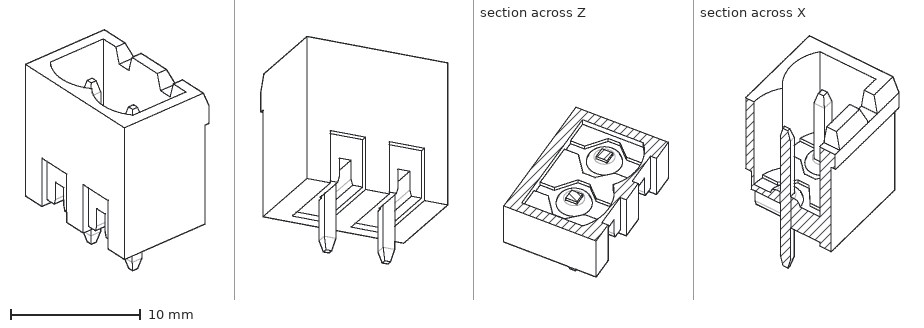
import cadquery as cq
import math


pitch = 5.0
pin_width = 1.0
pin_tip_width = pin_width / 2
pin_taper = 1.0
pin_bottom = -4.0
pin_top = 10.7
pin_positions = [-pitch / 2, pitch / 2]

width = 12.0
height = 12.0
total_depth = 8.5
lip_overhang = 0.4
front_y = -3.76
lip_y = front_y + total_depth
back_y = lip_y - lip_overhang

lip_height = 3.0
lip_bevel_depth = 0.58
lip_bevel_height = 1.38
notch_top_width = 1.94
notch_bottom_width = 1.17
notch_depth = lip_bevel_height

cavity_floor = 3.52
cavity_width = 2 * pitch
back_wall = 1.5
front_wall = 0.8
cavity_back_y = lip_y - back_wall
lobe_front_y = front_y + front_wall
lobe_radius = 3.92
lobe_rise = lobe_radius - math.sqrt(lobe_radius**2 - (pitch / 2) ** 2)
cusp_y = lobe_front_y + lobe_rise

key_depth = 0.32
key_width = 4.16
key_back_neck_width = 1.0
key_front_neck_width = notch_top_width
key_back_neck_y = 2.0
key_back_shoulder_y = 0.77
key_front_shoulder_y = -0.27
key_front_neck_y = -1.4

collar_diameter = 2.8
collar_top_diameter = 1.63
collar_height = (collar_diameter - collar_top_diameter) / 2

relief_width = 3.0
relief_height = 4.42
relief_depth = 0.53
bottom_recess = 0.42
slot_width = pin_width
slot_height = 2.5
slot_flare_top = 0.91
slot_flare_width = 1.28


def box(x_center, x_size, y_min, y_max, z_min, z_max):
    """Box centred on x_center, between the given Y and Z limits."""
    return (
        cq.Workplane("XY", origin=(x_center, 0, z_min))
        .rect(x_size, y_max - y_min)
        .extrude(z_max - z_min)
        .translate((0, (y_min + y_max) / 2, 0))
    )


def extrude_along_y(points, y_min, y_max):
    """Solid from an XZ outline, between the given Y limits."""
    return cq.Workplane("XZ", origin=(0, y_max, 0)).polyline(points).close().extrude(y_max - y_min)


def housing_block():
    """Outer block with the bevelled lip along its back edge."""
    profile = [
        (front_y, 0),
        (back_y, 0),
        (back_y, height - lip_height),
        (lip_y, height - lip_height),
        (lip_y, height - lip_bevel_height),
        (lip_y - lip_bevel_depth, height),
        (front_y, height),
    ]
    return cq.Workplane("YZ", origin=(-width / 2, 0, 0)).polyline(profile).close().extrude(width)


def cavity():
    """Space for the mating plug: straight back, one rounded lobe per pin at the front."""
    half_width = cavity_width / 2
    return (
        cq.Workplane("XY", origin=(0, 0, cavity_floor))
        .moveTo(half_width, cavity_back_y)
        .lineTo(-half_width, cavity_back_y)
        .lineTo(-half_width, cusp_y)
        .threePointArc((-pitch / 2, lobe_front_y), (0, cusp_y))
        .threePointArc((pitch / 2, lobe_front_y), (half_width, cusp_y))
        .close()
        .extrude(height - cavity_floor)
    )


def key_recess(x):
    """Recess in the cavity floor: a wide middle, with a neck to the back and one to the front."""
    right_side = [
        (key_back_neck_width / 2, cavity_back_y),
        (key_back_neck_width / 2, key_back_neck_y),
        (key_width / 2, key_back_shoulder_y),
        (key_width / 2, key_front_shoulder_y),
        (key_front_neck_width / 2, key_front_neck_y),
        (key_front_neck_width / 2, lobe_front_y),
    ]
    left_side = [(-offset, y) for offset, y in reversed(right_side)]
    recess_floor = cavity_floor - key_depth
    recess = cq.Workplane("XY").polyline(right_side + left_side).close().extrude(height)
    return recess.translate((x, 0, recess_floor)).intersect(cavity().translate((0, 0, -key_depth)))


def lip_notch(x):
    """V-notch through the top of the back wall, tapering downwards."""
    points = [
        (x - notch_top_width / 2, height),
        (x - notch_bottom_width / 2, height - notch_depth),
        (x + notch_bottom_width / 2, height - notch_depth),
        (x + notch_top_width / 2, height),
    ]
    return extrude_along_y(points, cavity_back_y, lip_y)


def pin_relief(x):
    """Front relief, bottom recess, and the flared slot from the front to the pin."""
    slot_front_y = front_y + relief_depth
    front_relief = box(x, relief_width, front_y, slot_front_y, 0, relief_height)
    recess = box(x, relief_width, front_y, cavity_back_y, 0, bottom_recess)
    slot = box(x, slot_width, slot_front_y, 0, 0, slot_height)
    flare_points = [
        (x - slot_width / 2, slot_flare_top),
        (x - slot_flare_width / 2, bottom_recess),
        (x + slot_flare_width / 2, bottom_recess),
        (x + slot_width / 2, slot_flare_top),
    ]
    flare = extrude_along_y(flare_points, slot_front_y, 0)
    return front_relief.union(recess).union(slot).union(flare)


def collar(x):
    """Round collar whose edge is a quarter round, standing on the recess floor."""
    return (
        cq.Workplane("XZ", origin=(x, 0, cavity_floor - key_depth))
        .lineTo(collar_diameter / 2, 0)
        .radiusArc((collar_top_diameter / 2, collar_height), -collar_height)
        .lineTo(0, collar_height)
        .close()
        .revolve(360, (0, 0), (0, 1))
    )


def pin_tip(x, z_start, z_end):
    """Square pin end, narrowing from z_start to z_end."""
    return (
        cq.Workplane("XY", origin=(x, 0, z_start))
        .rect(pin_width, pin_width)
        .workplane(offset=z_end - z_start)
        .rect(pin_tip_width, pin_tip_width)
        .loft(combine=True)
    )


def make_pin(x):
    """Straight square pin with both ends tapered."""
    shank_bottom = pin_bottom + pin_taper
    shank_top = pin_top - pin_taper
    shank = box(x, pin_width, -pin_width / 2, pin_width / 2, shank_bottom, shank_top)
    return shank.union(pin_tip(x, shank_bottom, pin_bottom)).union(pin_tip(x, shank_top, pin_top))


def make_housing():
    """Housing with a matching square hole for each pin."""
    body = housing_block().cut(cavity())
    for x in pin_positions:
        body = body.cut(key_recess(x)).cut(lip_notch(x)).cut(pin_relief(x))
        body = body.union(collar(x))
        body = body.cut(box(x, pin_width, -pin_width / 2, pin_width / 2, 0, height))
    return body


housing = make_housing()
pins = [make_pin(x) for x in pin_positions]

result = cq.Compound.makeCompound([housing.val(), *[pin.val() for pin in pins]])